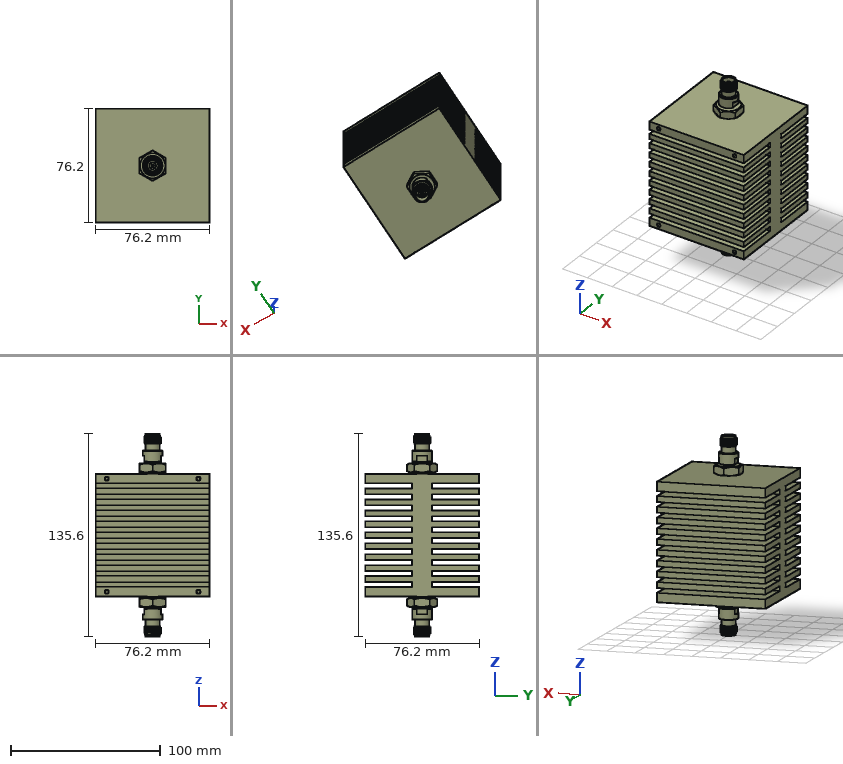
import cadquery as cq
import math

total_height = 135.6
block_width = 76.2

end_plate = 6.5
fin_count = 9
fin_pitch = 7.3
fin_gap = 3.3
spine_width = 13.5
gap_count = fin_count + 1
finned_height = fin_count * fin_pitch + fin_gap
block_height = finned_height + 2 * end_plate
block_top = block_height / 2

hole_spacing = 61.3
hole_diameter = 2.3
hole_mouth = 2.8
hole_depth = 8.1
drill_half_angle = math.radians(59)

tube_diameter = 9.6
thread_diameter = 11.4
thread_root_diameter = 10.5
thread_start = 1.4
thread_end = 6.8
thread_margin = 0.1
thread_pitch = 0.91
ridge_root_width = 0.8
ridge_crest_width = 0.1
ridge_overlap = 0.1
collar_start = 11.1
collar_end = 18.6
collar_diameter = 13.3
collar_chamfer = 0.4
flat_start = 14.8
flat_width = 11.3
nut_start = 19.7
nut_end = 25.9
nut_across_flats = 17.6
nut_face_diameter = 16.8
nut_chamfer_angle = math.radians(30)
nut_envelope_margin = 1.4
neck_diameter = 7.6

mouth_diameter = 8.7
socket_diameter = 7.5
socket_depth = 6.8
insulator_diameter = 4.6
insulator_recess = 3.3
pin_base_diameter = 1.9
pin_tip_diameter = 1.34
pin_recess = 1.9

tip = total_height / 2


def disc(diameter, start, end):
    """Return a round bar on the Z axis between two distances below the tip."""
    return cq.Workplane("XY").workplane(offset=tip - end).circle(diameter / 2).extrude(end - start)


def make_block():
    """Square block with two banks of fins on either side of a central spine."""
    block = cq.Workplane("XY").box(block_width, block_width, block_height)
    gap_length = (block_width - spine_width) / 2
    gap_y = (block_width + spine_width) / 4
    for index in range(gap_count):
        gap_z = (index - (gap_count - 1) / 2) * fin_pitch
        gap = cq.Workplane("XY").box(block_width, gap_length, fin_gap)
        for side in (-1, 1):
            block = block.cut(gap.translate((0, side * gap_y, gap_z)))
    return block


def make_mounting_hole():
    """Countersunk drilled hole, running in +Y from the front face of the block."""
    radius = hole_diameter / 2
    countersink = hole_mouth / 2 - radius
    point_length = radius / math.tan(drill_half_angle)
    profile = (
        cq.Workplane("XY")
        .moveTo(0, 0)
        .lineTo(hole_mouth / 2, 0)
        .lineTo(radius, countersink)
        .lineTo(radius, hole_depth)
        .lineTo(0, hole_depth + point_length)
        .close()
    )
    return profile.revolve(360, (0, 0, 0), (0, 1, 0)).translate((0, -block_width / 2, 0))


def make_nut():
    """Hexagon nut with two corners on the Y axis and both faces chamfered."""
    height = nut_end - nut_start
    corner_diameter = nut_across_flats / math.cos(math.pi / 6)
    nut = (
        cq.Workplane("XY")
        .workplane(offset=tip - nut_end)
        .transformed(rotate=(0, 0, 90))
        .polygon(6, corner_diameter)
        .extrude(height)
    )
    envelope_radius = corner_diameter / 2 + nut_envelope_margin
    chamfer_width = envelope_radius - nut_face_diameter / 2
    envelope = (
        disc(2 * envelope_radius, nut_start, nut_end)
        .faces("<Z or >Z")
        .edges()
        .chamfer(chamfer_width * math.tan(nut_chamfer_angle), chamfer_width)
    )
    return nut.intersect(envelope)


def make_collar():
    """Chamfered round collar with two wrench flats facing -X and +X."""
    collar = disc(collar_diameter, collar_start, collar_end).faces(">Z").edges().chamfer(collar_chamfer)
    flat_height = collar_end - flat_start
    flat_z = tip - (flat_start + collar_end) / 2
    for side in (-1, 1):
        flat_cut = cq.Workplane("XY").box(flat_width, 2 * flat_width, flat_height)
        collar = collar.cut(flat_cut.translate((side * flat_width, 0, flat_z)))
    return collar


def make_thread():
    """Root cylinder with a helical V ridge that is seated slightly inside it."""
    root_radius = thread_root_diameter / 2 - ridge_overlap
    crest_radius = thread_diameter / 2
    half_root = ridge_root_width / 2
    half_crest = ridge_crest_width / 2
    helix_height = thread_end - thread_start - 2 * (thread_margin + half_root)
    helix = cq.Wire.makeHelix(thread_pitch, helix_height, root_radius)
    section = (
        cq.Workplane("XZ")
        .moveTo(root_radius, -half_root)
        .lineTo(crest_radius, -half_crest)
        .lineTo(crest_radius, half_crest)
        .lineTo(root_radius, half_root)
        .close()
    )
    ridge = section.sweep(cq.Workplane(obj=helix), isFrenet=True)
    ridge = ridge.translate((0, 0, tip - thread_end + thread_margin + half_root))
    return disc(thread_root_diameter, thread_start, thread_end).union(ridge)


def make_socket():
    """Conical bore cut into the tip of the connector."""
    profile = (
        cq.Workplane("XZ")
        .moveTo(0, tip)
        .lineTo(mouth_diameter / 2, tip)
        .lineTo(socket_diameter / 2, tip - socket_depth)
        .lineTo(0, tip - socket_depth)
        .close()
    )
    return profile.revolve(360, (0, 0, 0), (0, 1, 0))


def make_pin():
    """Tapered centre contact standing on the insulator."""
    return (
        cq.Workplane("XY")
        .workplane(offset=tip - insulator_recess)
        .circle(pin_base_diameter / 2)
        .workplane(offset=insulator_recess - pin_recess)
        .circle(pin_tip_diameter / 2)
        .loft(ruled=True)
    )


def make_connector():
    """Upper connector, from its tip down to the top face of the block."""
    connector = disc(tube_diameter, 0, collar_start).union(make_thread())
    connector = connector.cut(make_socket())
    connector = connector.union(disc(insulator_diameter, insulator_recess, socket_depth))
    connector = connector.union(make_pin())
    connector = connector.union(make_collar())
    connector = connector.union(disc(neck_diameter, collar_end, tip - block_top))
    return connector.union(make_nut())


result = make_block()
hole = make_mounting_hole()
hole_z = block_top - end_plate / 2
for side_x in (-1, 1):
    for side_z in (-1, 1):
        result = result.cut(hole.translate((side_x * hole_spacing / 2, 0, side_z * hole_z)))

upper_connector = make_connector()
lower_connector = upper_connector.rotate((0, 0, 0), (0, 1, 0), 180)
result = result.union(upper_connector).union(lower_connector)